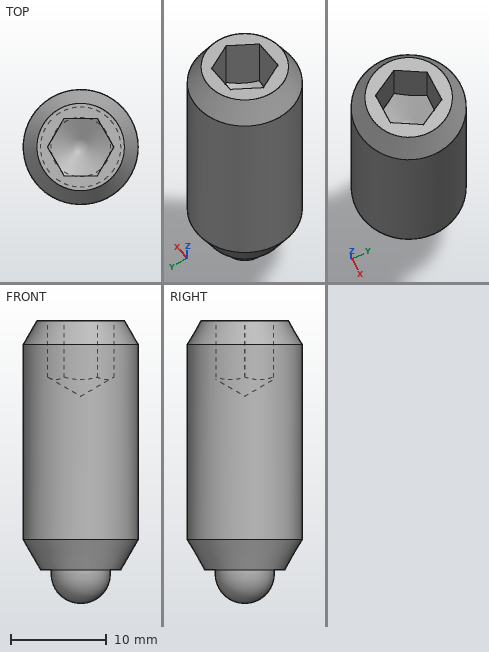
import cadquery as cq
import math

TOTAL_HEIGHT = 29.5
BODY_RADIUS = 12.0 / 2
PIN_RADIUS = 3.1
PIN_PROJECTION = 3.5

TOP_BEVEL_HEIGHT = 2.5
BOTTOM_BEVEL_HEIGHT = 3.15
BEVEL_SLOPE = math.tan(math.radians(30))

SOCKET_ACROSS_FLATS = 6.0
SOCKET_DEPTH = 5.9
SOCKET_POINT_ANGLE = 120.0

socket_corner_radius = SOCKET_ACROSS_FLATS / math.sqrt(3)
socket_point_depth = socket_corner_radius / math.tan(math.radians(SOCKET_POINT_ANGLE / 2))


def make_socket():
    """Hexagonal prism whose lower end is trimmed to a cone."""
    full_depth = SOCKET_DEPTH + socket_point_depth
    shoulder_z = TOTAL_HEIGHT - SOCKET_DEPTH
    hexagon = (
        cq.Workplane("XY", origin=(0, 0, TOTAL_HEIGHT - full_depth))
        .polygon(6, 2 * socket_corner_radius)
        .extrude(full_depth)
    )
    drill_shape = (
        cq.Workplane("XZ")
        .moveTo(0, shoulder_z - socket_point_depth)
        .lineTo(socket_corner_radius, shoulder_z)
        .lineTo(socket_corner_radius, TOTAL_HEIGHT)
        .lineTo(0, TOTAL_HEIGHT)
        .close()
        .revolve(360, (0, 0, 0), (0, 1, 0))
    )
    return hexagon.intersect(drill_shape)


def make_body():
    """Round body with bevelled ends and a hexagon socket in its top."""
    bottom_radius = BODY_RADIUS - BOTTOM_BEVEL_HEIGHT * BEVEL_SLOPE
    top_radius = BODY_RADIUS - TOP_BEVEL_HEIGHT * BEVEL_SLOPE
    blank = (
        cq.Workplane("XZ")
        .moveTo(0, PIN_PROJECTION)
        .lineTo(bottom_radius, PIN_PROJECTION)
        .lineTo(BODY_RADIUS, PIN_PROJECTION + BOTTOM_BEVEL_HEIGHT)
        .lineTo(BODY_RADIUS, TOTAL_HEIGHT - TOP_BEVEL_HEIGHT)
        .lineTo(top_radius, TOTAL_HEIGHT)
        .lineTo(0, TOTAL_HEIGHT)
        .close()
        .revolve(360, (0, 0, 0), (0, 1, 0))
    )
    return blank.cut(make_socket())


def make_pin():
    """Round-nosed pin that meets the lower end face of the body."""
    arc_offset = PIN_RADIUS * math.sqrt(0.5)
    return (
        cq.Workplane("XZ")
        .moveTo(0, 0)
        .threePointArc((arc_offset, PIN_RADIUS - arc_offset), (PIN_RADIUS, PIN_RADIUS))
        .lineTo(PIN_RADIUS, PIN_PROJECTION)
        .lineTo(0, PIN_PROJECTION)
        .close()
        .revolve(360, (0, 0, 0), (0, 1, 0))
    )


body = make_body()
pin = make_pin()

result = cq.Compound.makeCompound([body.solids().val(), pin.val()])